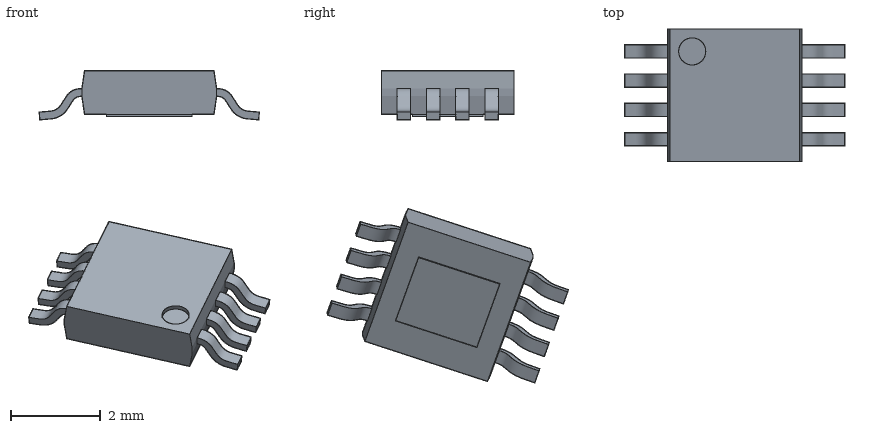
import cadquery as cq
import math

overall_length = 4.9
overall_height = 1.1

housing_length = 3.0
housing_width = 2.95
housing_height = 0.975
side_draft = 0.06
housing_bottom = overall_height - housing_height

marker_diameter = 0.605
marker_depth = 0.1
marker_x = -0.945
marker_y = 0.975

pad_length = 1.91
pad_width = 1.57
pad_thickness = 0.05

leads_per_side = 4
lead_pitch = 0.65
lead_width = 0.3
lead_thickness = 0.175
shoulder_length = 0.03
shoulder_outer_radius = 0.37
foot_inner_radius = 0.305
leg_angle = math.radians(57)
foot_angle = math.radians(5)

lead_top = housing_bottom + (housing_height + lead_thickness) / 2
lead_bottom = lead_top - lead_thickness


def make_housing():
    """Block with a vertical band at lead height and drafted sides above and below it."""
    half_length = housing_length / 2
    half_end = half_length - side_draft
    outline = [
        (-half_end, housing_bottom),
        (half_end, housing_bottom),
        (half_length, lead_bottom),
        (half_length, lead_top),
        (half_end, overall_height),
        (-half_end, overall_height),
        (-half_length, lead_top),
        (-half_length, lead_bottom),
    ]
    block = cq.Workplane("XZ").polyline(outline).close().extrude(housing_width / 2, both=True)
    marker = (
        cq.Workplane("XY", origin=(marker_x, marker_y, overall_height))
        .circle(marker_diameter / 2)
        .extrude(-marker_depth)
    )
    return block.cut(marker)


def make_thermal_pad():
    """Flat pad against the underside of the housing."""
    return (
        cq.Workplane("XY", origin=(0, 0, housing_bottom))
        .rect(pad_length, pad_width)
        .extrude(-pad_thickness)
    )


def leg_and_foot_lengths():
    """Straight lengths that bring the foot to the overall length and down to Z = 0."""
    reach = (
        (overall_length - housing_length) / 2
        - shoulder_length
        - shoulder_outer_radius * math.sin(leg_angle)
        - foot_inner_radius * (math.sin(leg_angle) - math.sin(foot_angle))
    )
    drop = (
        lead_top
        - shoulder_outer_radius * (1 - math.cos(leg_angle))
        - foot_inner_radius * (math.cos(foot_angle) - math.cos(leg_angle))
        - lead_thickness * math.cos(foot_angle)
    )
    bend = math.sin(leg_angle - foot_angle)
    leg = (drop * math.cos(foot_angle) - reach * math.sin(foot_angle)) / bend
    foot = (reach * math.sin(leg_angle) - drop * math.cos(leg_angle)) / bend
    return leg, foot


def make_lead(y):
    """Lead on the +X side, centred on y: shoulder, bend, leg, bend and foot."""
    leg_length, foot_length = leg_and_foot_lengths()

    def polar(center, radius, angle):
        """Point at an angle away from straight up, turning towards +X."""
        return (center[0] + radius * math.sin(angle), center[1] + radius * math.cos(angle))

    def along(start, length, angle):
        """Point a length away from start, heading outwards and down at the angle."""
        return (start[0] + length * math.cos(angle), start[1] - length * math.sin(angle))

    shoulder_inner_radius = shoulder_outer_radius - lead_thickness
    foot_outer_radius = foot_inner_radius + lead_thickness
    mid_bend = (leg_angle + foot_angle) / 2

    root_x = housing_length / 2
    shoulder_x = root_x + shoulder_length
    shoulder_center = (shoulder_x, lead_top - shoulder_outer_radius)

    leg_start = polar(shoulder_center, shoulder_outer_radius, leg_angle)
    leg_end = along(leg_start, leg_length, leg_angle)
    foot_center = polar(leg_end, foot_inner_radius, leg_angle)
    foot_start = polar(foot_center, -foot_inner_radius, foot_angle)
    toe_top = along(foot_start, foot_length, foot_angle)

    toe_bottom = polar(toe_top, -lead_thickness, foot_angle)
    foot_start_below = polar(foot_center, -foot_outer_radius, foot_angle)
    leg_end_below = polar(foot_center, -foot_outer_radius, leg_angle)
    leg_start_below = polar(shoulder_center, shoulder_inner_radius, leg_angle)

    return (
        cq.Workplane("XZ", origin=(0, y, 0))
        .moveTo(root_x, lead_top)
        .lineTo(shoulder_x, lead_top)
        .threePointArc(polar(shoulder_center, shoulder_outer_radius, leg_angle / 2), leg_start)
        .lineTo(*leg_end)
        .threePointArc(polar(foot_center, -foot_inner_radius, mid_bend), foot_start)
        .lineTo(*toe_top)
        .lineTo(*toe_bottom)
        .lineTo(*foot_start_below)
        .threePointArc(polar(foot_center, -foot_outer_radius, mid_bend), leg_end_below)
        .lineTo(*leg_start_below)
        .threePointArc(
            polar(shoulder_center, shoulder_inner_radius, leg_angle / 2),
            (shoulder_x, lead_bottom),
        )
        .lineTo(root_x, lead_bottom)
        .close()
        .extrude(lead_width / 2, both=True)
    )


housing = make_housing()
thermal_pad = make_thermal_pad()

leads = []
for i in range(leads_per_side):
    lead = make_lead((i - (leads_per_side - 1) / 2) * lead_pitch)
    leads.append(lead.val())
    leads.append(lead.mirror("YZ").val())

result = cq.Compound.makeCompound([housing.val(), thermal_pad.val(), *leads])